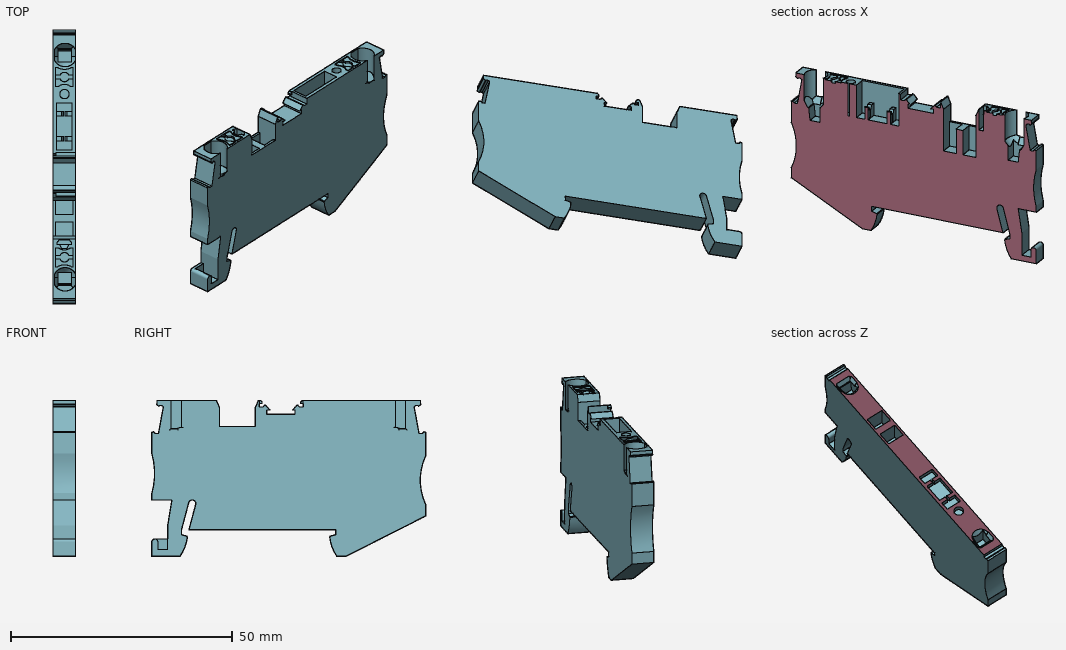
import cadquery as cq

width = 5.15
length = 61.9
height = 35.25
half_width = width / 2
end_y = length / 2
over = 1.0

lip_y = end_y - 1.15
lip_tip_y = end_y - 1.05
lip_corner_z = height - 0.83
lip_tip_z = height - 0.93
lip_under_z = height - 1.2
lip_bead_y = lip_y - 0.45
lip_bead_z = height - 1.38
lip_bead_width = 0.15
neck_top_y = end_y - 2.6
neck_corner = 0.3
neck_foot_y = end_y - 1.5
shoulder_z = 27.75
shoulder_ridge_foot_y = end_y - 0.8
shoulder_ridge_y = end_y - 0.45
shoulder_ridge_z = 28.15
shoulder_edge_z = 28.0
rear_hollow_top_z = 22.7
rear_hollow_bottom_z = 11.7
rear_hollow_depth = 1.22
front_hollow_top_z = 23.2
front_hollow_bottom_z = 14.2
front_hollow_depth = 0.62

rail_seat_z = 6.0
hook_root_z = 4.9
hook_z = 4.55
hook_nose_z = 4.35
fixed_foot_end_z = 9.1
fixed_foot_sole_rear_y = 12.97
fixed_foot_sole_front_y = 10.84
fixed_hook_root_y = 10.57
fixed_hook_nose_y = 9.23
hook_corner = 0.1
hook_bulge_radius = 9.5

slot_mouth_rear_y = -22.57
slot_mouth_front_y = -24.2
slot_top_rear = (-21.02, 11.8)
slot_crown = (-21.78, 12.7)
slot_top_front = (-22.6, 12.0)
spring_hook_nose_y = -22.87
spring_sole_y = -24.56
spring_neck_y = -27.36
spring_bend_z = 6.95
spring_top_y = -26.43
spring_top_z = 12.7

pedal_z = 3.92
pedal_round = 0.7
pedal_ridge_thickness = 2 * pedal_round
pedal_floor_z = 1.5
pedal_rim = 0.75

marker_floor_z = 32.1
marker_lip_z = 33.03
marker_rear_y = 1.4
marker_front_y = -4.96
marker_lip_rear_y = 0.84
marker_lip_front_y = -4.2
ridge_z = 34.13
ridge_width = 0.2
rear_ridge_y = 1.85
front_ridge_y = -5.25
groove_z = 33.77
groove_ramp = 0.35
rear_groove_y = 3.27
front_groove_y = -6.63
catch_under_z = 34.5
catch_tip_z = 34.83
catch_slope = 0.38
rear_catch_tip_y = 2.67
front_catch_tip_y = -6.0
catch_width = 0.75
post_top_y = -6.85

saddle_rear_y = -7.57
saddle_front_y = -15.62
saddle_z = 29.34
saddle_lead_z = 33.62
front_block_y = -16.33

head_mirror_y = -0.08

bore_x = 0.18
bore_y = 25.25
bore_radius = 2.65
bore_flat_x = -2.2
bore_depth = 6.0
funnel_y = 24.9
funnel_depth = 2.0
clamp_x = 0.1
clamp_width = 3.0
clamp_inner_y = 23.7
clamp_outer_y = 26.7
clamp_floor_outer_y = 26.15
clamp_depth = 3.0

panel_half_width = 1.98
panel_x = 0.05
panel_inner_y = 18.15
panel_outer_y = 22.42
panel_depth = 0.2
panel_bore_clearance = 3.25
panel_hole_clearance = 2.2
screw_slot_y = 20.27
screw_slot_width = 0.85
screw_slot_radius = 1.07
screw_slot_depth = 0.4

test_hole_x = panel_x
test_hole_y = 16.42
test_hole_radius = 1.05
test_hole_depth = 8.0
bridge_half_width = 1.78
bridge_front_y = 3.83
bridge_rear_y = 14.42
bridge_depth = 8.0
prong_length = 0.97
prong_front_edges = (5.85, 11.48)
prong_gap = 0.44
prong_chamfer_width = 0.45
prong_chamfer_height = 0.9
prong_top_drop = 5.0
saddle_pocket_half_width = 2.0
saddle_pocket_length = 3.15
saddle_pocket_depth = 6.0
opening_depth = 5.0
opening_ramp_depth = 1.0
opening_rear_y = -16.5
opening_wide_y = -17.1
opening_ramp_y = -17.5
opening_front_y = -18.4
opening_half_width = 1.6
opening_rear_half_width = 1.15
opening_ramp_half_width = 1.1
opening_front_half_width = 0.6


def polyline_to(outline, points):
    for point in points:
        outline = outline.lineTo(*point)
    return outline


def end_head(side):
    """Points of one end, from the top lip down to the shoulder; side is +1 or -1 along Y."""
    points = [
        (lip_y, height),
        (lip_y, lip_corner_z),
        (lip_tip_y, lip_tip_z),
        (lip_bead_y, lip_bead_z),
        (lip_bead_y - lip_bead_width, lip_under_z),
        (neck_top_y + neck_corner, lip_under_z),
        (neck_top_y, lip_under_z - neck_corner),
        (neck_foot_y, shoulder_z),
        (shoulder_ridge_foot_y, shoulder_z),
        (shoulder_ridge_y, shoulder_ridge_z),
        (end_y, shoulder_edge_z),
    ]
    return [(side * y, z) for y, z in points]


def hollow_to(outline, side, start_z, stop_z, depth):
    """Shallow finger hollow in one end, as a single arc."""
    deepest = (side * (end_y - depth), (start_z + stop_z) / 2)
    return outline.lineTo(side * end_y, start_z).threePointArc(deepest, (side * end_y, stop_z))


def block_profile():
    outline = cq.Workplane("YZ").moveTo(rear_catch_tip_y + catch_slope, height)
    outline = polyline_to(outline, end_head(1))
    outline = hollow_to(outline, 1, rear_hollow_top_z, rear_hollow_bottom_z, rear_hollow_depth)
    outline = polyline_to(
        outline,
        [(end_y, fixed_foot_end_z), (fixed_foot_sole_rear_y, 0), (fixed_foot_sole_front_y, 0)],
    )
    outline = outline.radiusArc((fixed_hook_nose_y, hook_nose_z), hook_bulge_radius)
    outline = polyline_to(
        outline,
        [
            (fixed_hook_nose_y + hook_corner, hook_z),
            (fixed_hook_root_y, hook_root_z),
            (fixed_hook_root_y, rail_seat_z),
            (slot_mouth_rear_y, rail_seat_z),
            slot_top_rear,
        ],
    )
    outline = outline.threePointArc(slot_crown, slot_top_front)
    outline = polyline_to(
        outline,
        [
            (slot_mouth_front_y, rail_seat_z),
            (slot_mouth_front_y, hook_root_z),
            (spring_hook_nose_y - hook_corner, hook_z),
            (spring_hook_nose_y, hook_nose_z),
        ],
    )
    outline = outline.radiusArc((spring_sole_y, 0), hook_bulge_radius)
    outline = polyline_to(outline, [(-end_y, 0), (-end_y, pedal_z - pedal_round)])
    outline = outline.radiusArc((pedal_round - end_y, pedal_z), pedal_round)
    outline = polyline_to(
        outline,
        [
            (spring_neck_y, pedal_z),
            (spring_neck_y, spring_bend_z),
            (spring_top_y, spring_top_z),
            (-end_y, spring_top_z),
        ],
    )
    outline = hollow_to(outline, -1, front_hollow_bottom_z, front_hollow_top_z, front_hollow_depth)
    outline = polyline_to(outline, reversed(end_head(-1)))
    outline = polyline_to(
        outline,
        [
            (front_block_y, height),
            (saddle_front_y, saddle_lead_z),
            (saddle_front_y, saddle_z),
            (saddle_rear_y, saddle_z),
            (saddle_rear_y, saddle_lead_z),
            (post_top_y, height),
            (front_catch_tip_y - catch_slope, height),
            (front_catch_tip_y, catch_tip_z),
            (front_catch_tip_y, catch_under_z),
            (front_groove_y, catch_under_z),
            (front_groove_y, groove_z),
            (front_ridge_y - ridge_width - groove_ramp, groove_z),
            (front_ridge_y - ridge_width, ridge_z),
            (front_ridge_y, ridge_z),
            (marker_lip_front_y, marker_lip_z),
            (marker_front_y, marker_lip_z),
            (marker_front_y, marker_floor_z),
            (marker_rear_y, marker_floor_z),
            (marker_rear_y, marker_lip_z),
            (marker_lip_rear_y, marker_lip_z),
            (rear_ridge_y, ridge_z),
            (rear_ridge_y + ridge_width, ridge_z),
            (rear_ridge_y + ridge_width + groove_ramp, groove_z),
            (rear_groove_y, groove_z),
            (rear_groove_y, catch_under_z),
            (rear_catch_tip_y, catch_under_z),
            (rear_catch_tip_y, catch_tip_z),
        ],
    )
    return outline.close()


def box_between(x0, x1, y0, y1, z0, z1):
    return cq.Workplane("XY").box(x1 - x0, y1 - y0, z1 - z0, centered=False).translate((x0, y0, z0))


def cylinder_at(x, y, radius, z0, z1):
    return cq.Workplane("XY", origin=(x, y, z0)).circle(radius).extrude(z1 - z0)


def loft_between(bottom, bottom_z, top, top_z):
    """Tapered block between two (x0, x1, y0, y1) rectangles."""

    def rectangle(plane, bounds):
        x0, x1, y0, y1 = bounds
        return plane.polyline([(x0, y0), (x1, y0), (x1, y1), (x0, y1)]).close()

    lower = rectangle(cq.Workplane("XY", origin=(0, 0, bottom_z)), bottom)
    return rectangle(lower.workplane(offset=top_z - bottom_z), top).loft(ruled=True)


def catch_trim():
    """Clears the overhanging snap catches except beside the -X face."""
    catch_x = catch_width - half_width
    top_z = height + over
    rear = box_between(catch_x, half_width, marker_lip_rear_y, rear_groove_y, ridge_z, top_z)
    front = box_between(catch_x, half_width, front_groove_y, marker_lip_front_y, ridge_z, top_z)
    return rear.union(front)


def pedal_channel():
    ridge_inner_y = pedal_ridge_thickness - end_y
    return (
        cq.Workplane("YZ", origin=(pedal_rim - half_width, 0, 0))
        .moveTo(ridge_inner_y - pedal_round, pedal_z)
        .radiusArc((ridge_inner_y, pedal_z - pedal_round), pedal_round)
        .lineTo(ridge_inner_y, pedal_floor_z)
        .lineTo(spring_neck_y, pedal_floor_z)
        .lineTo(spring_neck_y, pedal_z)
        .close()
        .extrude(width)
    )


def conductor_entry():
    """Round entry at +Y, narrowing to a rectangular clamp well."""
    bore_z = height - bore_depth
    funnel_z = bore_z - funnel_depth
    bore = cylinder_at(bore_x, bore_y, bore_radius, bore_z, height + over)
    well_x0 = clamp_x - clamp_width / 2
    well_x1 = clamp_x + clamp_width / 2

    outer_half = loft_between(
        (well_x0, well_x1, funnel_y, clamp_outer_y),
        funnel_z,
        (bore_x - bore_radius, bore_x + bore_radius, funnel_y, bore_y + bore_radius),
        bore_z,
    )
    half_section = (
        cq.Workplane("YZ", origin=(clamp_x, funnel_y, 0))
        .moveTo(0, funnel_z)
        .lineTo(clamp_inner_y - funnel_y, funnel_z)
        .lineTo(-bore_radius, bore_z)
        .lineTo(0, bore_z)
        .close()
    )
    inner_cone = half_section.revolve(360, (0, 0, 0), (0, 1, 0))
    inner_half = inner_cone.intersect(box_between(-width, width, 0, funnel_y, funnel_z, bore_z))
    column = cylinder_at(bore_x, bore_y, bore_radius, funnel_z, bore_z)
    funnel = outer_half.union(inner_half).intersect(column)
    well = loft_between(
        (well_x0, well_x1, clamp_inner_y, clamp_floor_outer_y),
        funnel_z - clamp_depth,
        (well_x0, well_x1, clamp_inner_y, clamp_outer_y),
        bore_z,
    )
    within = box_between(bore_flat_x, width, 0, end_y, 0, height + over)
    return bore.union(funnel).union(well).intersect(within)


def release_panel():
    """Shallow waisted panel at +Y with a deeper screwdriver slot across it."""
    panel_z = height - panel_depth
    top_z = height + over
    panel = box_between(-panel_half_width, panel_half_width, panel_inner_y, panel_outer_y, panel_z, top_z)
    panel = panel.cut(cylinder_at(panel_x, bore_y, panel_bore_clearance, panel_z, top_z))
    panel = panel.cut(cylinder_at(panel_x, test_hole_y, panel_hole_clearance, panel_z, top_z))
    slot_z = panel_z - screw_slot_depth
    slot = box_between(
        -panel_half_width,
        panel_half_width,
        screw_slot_y - screw_slot_width / 2,
        screw_slot_y + screw_slot_width / 2,
        slot_z,
        top_z,
    )
    slot_eye = cylinder_at(panel_x, screw_slot_y, screw_slot_radius, slot_z, top_z)
    return panel.union(slot).union(slot_eye)


def bridge_pocket():
    """Deep pocket for plug-in bridges, with two pairs of chamfered contact prongs left inside."""
    floor_z = height - bridge_depth
    pocket = box_between(
        -bridge_half_width, bridge_half_width, bridge_front_y, bridge_rear_y, floor_z, height + over
    )
    tip_x = prong_gap / 2
    top_z = height - prong_top_drop
    for front_y in prong_front_edges:
        prong = (
            cq.Workplane("XZ", origin=(0, front_y + prong_length, 0))
            .moveTo(tip_x, floor_z)
            .lineTo(bridge_half_width, floor_z)
            .lineTo(bridge_half_width, top_z)
            .lineTo(tip_x + prong_chamfer_width, top_z)
            .lineTo(tip_x, top_z - prong_chamfer_height)
            .close()
            .extrude(prong_length)
        )
        pocket = pocket.cut(prong).cut(prong.mirror("YZ"))
    return pocket


def saddle_pockets():
    pockets = cq.Workplane("XY")
    for y0 in (saddle_rear_y - saddle_pocket_length, saddle_front_y):
        pockets = pockets.union(
            box_between(
                -saddle_pocket_half_width,
                saddle_pocket_half_width,
                y0,
                y0 + saddle_pocket_length,
                saddle_z - saddle_pocket_depth,
                saddle_z + over,
            )
        )
    return pockets


def front_opening():
    """Six-sided test opening beside the saddle with a ramp on its -Y side."""
    opening = (
        cq.Workplane("XY", origin=(0, 0, height - opening_depth))
        .polyline(
            [
                (-opening_rear_half_width, opening_rear_y),
                (opening_rear_half_width, opening_rear_y),
                (opening_half_width, opening_wide_y),
                (opening_half_width, opening_ramp_y),
                (-opening_half_width, opening_ramp_y),
                (-opening_half_width, opening_wide_y),
            ]
        )
        .close()
        .extrude(opening_depth + over)
    )
    ramp_plan = (
        cq.Workplane("XY", origin=(0, 0, height - opening_ramp_depth))
        .polyline(
            [
                (-opening_ramp_half_width, opening_ramp_y),
                (opening_ramp_half_width, opening_ramp_y),
                (opening_front_half_width, opening_front_y),
                (-opening_front_half_width, opening_front_y),
            ]
        )
        .close()
        .extrude(opening_ramp_depth)
    )
    ramp_side = (
        cq.Workplane("YZ")
        .polyline(
            [
                (opening_ramp_y, height - opening_ramp_depth),
                (opening_ramp_y, height),
                (opening_front_y, height),
            ]
        )
        .close()
        .extrude(opening_half_width, both=True)
    )
    return opening.union(ramp_plan.intersect(ramp_side))


result = block_profile().extrude(half_width, both=True)
result = result.cut(catch_trim())
result = result.cut(pedal_channel())
for end_feature in (conductor_entry(), release_panel()):
    result = result.cut(end_feature).cut(end_feature.mirror("XZ", (0, head_mirror_y, 0)))
result = result.cut(
    cylinder_at(test_hole_x, test_hole_y, test_hole_radius, height - test_hole_depth, height + over)
)
result = result.cut(bridge_pocket())
result = result.cut(saddle_pockets())
result = result.cut(front_opening())